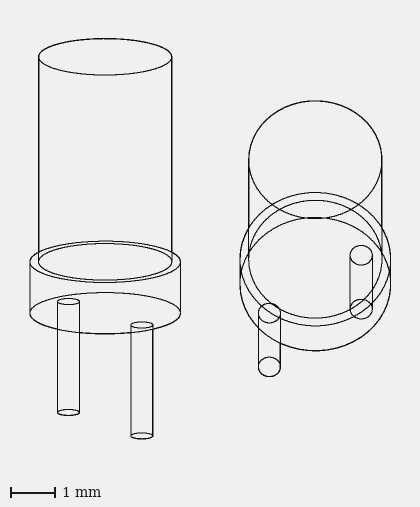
import cadquery as cq

total_height = 8.6
pin_length = 2.6
flange_height = 1.2
barrel_height = total_height - pin_length - flange_height

barrel_diameter = 3.0
flange_diameter = 3.4
pin_diameter = 0.5
pin_pitch = 2.54


def make_housing():
    """Round barrel standing on a wider flange whose underside is at Z = 0."""
    flange = cq.Workplane("XY").circle(flange_diameter / 2).extrude(flange_height)
    return flange.faces(">Z").workplane().circle(barrel_diameter / 2).extrude(barrel_height)


def make_pin(x):
    """Straight lead hanging from the underside of the flange."""
    return cq.Workplane("XY").center(x, 0).circle(pin_diameter / 2).extrude(-pin_length)


housing = make_housing()
pins = [make_pin(side * pin_pitch / 2) for side in (-1, 1)]

result = cq.Compound.makeCompound([housing.val(), *[pin.val() for pin in pins]])